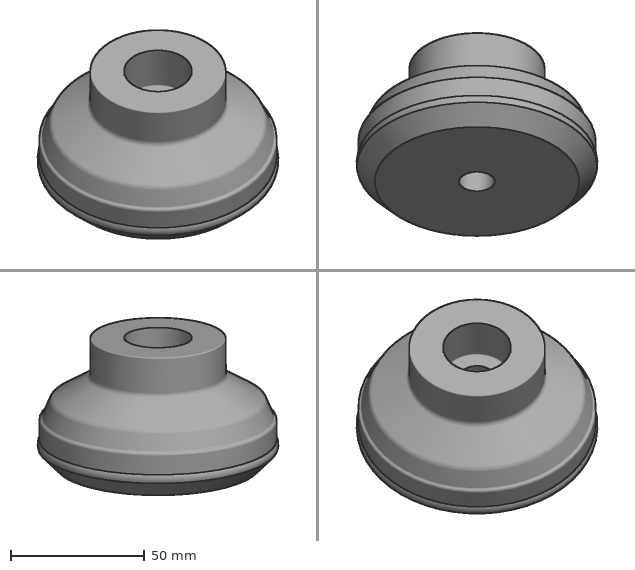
import cadquery as cq
import math

overall_diameter = 90.4
overall_height = 50.0

bore_radius = 13.5 / 2
counterbore_radius = 25.4 / 2
counterbore_depth = 16.7
counterbore_floor_fillet = 0.45

base_height = 10.0
base_bottom_radius = 38.3
lip_radius = overall_diameter / 2
lip_bottom_z = 6.8
lip_widest_z = 8.05

rim_radius = 89.2 / 2
rim_top_z = 17.45
ledge_radius = 43.9
ledge_z = 18.5
lower_cone_start_radius = 43.3
lower_cone_start_z = 19.2
shoulder_radius = 40.4
shoulder_z = 25.95
shoulder_fillet = 2.5
neck_radius = 51.0 / 2
neck_root_z = 34.9
neck_root_fillet = 1.9
neck_top_fillet = 0.45


def fillet_ring(body, radius, z, fillet):
    """Round the circular edge that lies at the given radius and height."""
    reach = radius + 0.1
    half_height = 0.1
    ring = cq.selectors.BoxSelector(
        (-reach, -reach, z - half_height), (reach, reach, z + half_height), boundingbox=True
    )
    return body.edges(ring).edges(cq.selectors.RadiusNthSelector(-1)).fillet(fillet)


def make_base():
    """Conical base ring with a lip rounded up to the housing rim."""
    inset_at_top = lip_radius - rim_radius
    rise_to_top = base_height - lip_widest_z
    arc_radius = (rise_to_top**2 + inset_at_top**2) / (2 * inset_at_top)
    arc_center_radius = lip_radius - arc_radius
    cone_top_radius = arc_center_radius + math.sqrt(arc_radius**2 - (lip_widest_z - lip_bottom_z) ** 2)
    profile = (
        cq.Workplane("XZ")
        .moveTo(bore_radius, 0)
        .lineTo(base_bottom_radius, 0)
        .lineTo(cone_top_radius, lip_bottom_z)
        .threePointArc((lip_radius, lip_widest_z), (rim_radius, base_height))
        .lineTo(bore_radius, base_height)
        .close()
    )
    return profile.revolve(360, (0, 0, 0), (0, 1, 0))


def make_housing():
    """Stepped conical housing with a counterbored neck, seated on the base."""
    counterbore_floor_z = overall_height - counterbore_depth
    profile = (
        cq.Workplane("XZ")
        .moveTo(bore_radius, base_height)
        .lineTo(rim_radius, base_height)
        .lineTo(rim_radius, rim_top_z)
        .tangentArcPoint((ledge_radius, ledge_z), relative=False)
        .tangentArcPoint((lower_cone_start_radius, lower_cone_start_z), relative=False)
        .lineTo(shoulder_radius, shoulder_z)
        .lineTo(neck_radius, neck_root_z)
        .lineTo(neck_radius, overall_height)
        .lineTo(counterbore_radius, overall_height)
        .lineTo(counterbore_radius, counterbore_floor_z)
        .lineTo(bore_radius, counterbore_floor_z)
        .close()
    )
    body = profile.revolve(360, (0, 0, 0), (0, 1, 0))
    body = fillet_ring(body, shoulder_radius, shoulder_z, shoulder_fillet)
    body = fillet_ring(body, neck_radius, neck_root_z, neck_root_fillet)
    body = fillet_ring(body, neck_radius, overall_height, neck_top_fillet)
    return fillet_ring(body, counterbore_radius, counterbore_floor_z, counterbore_floor_fillet)


base = make_base()
housing = make_housing()

result = cq.Compound.makeCompound([base.val(), housing.val()])